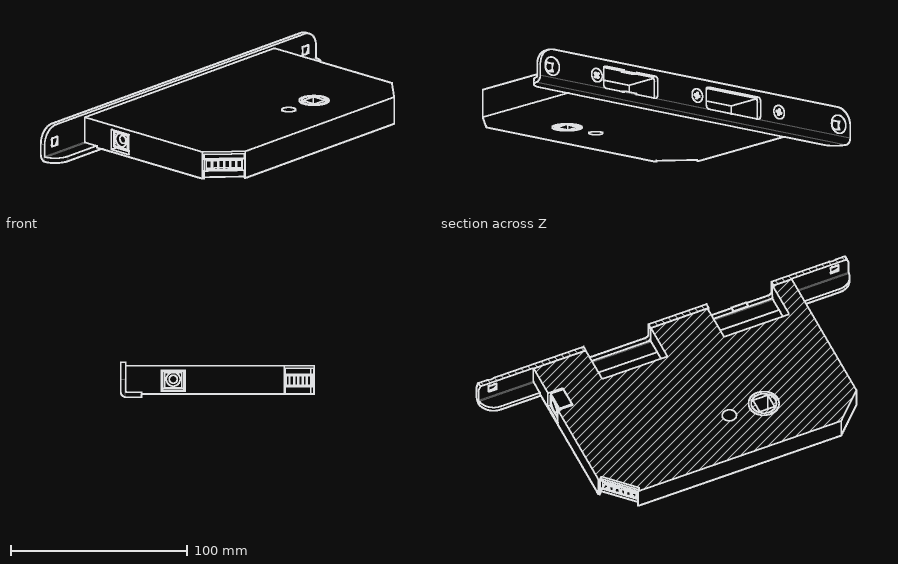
import cadquery as cq
import math


forend_length = 230.0
forend_height = 20.0
forend_thickness = 3.0
flange_width = 12.0
bend_inner_radius = 0.5
bend_outer_radius = bend_inner_radius + forend_thickness
corner_radius = 9.7
forend_mid_z = forend_height / 2

case_end_x = 110.0
case_length = 160.5
case_mid_y = -0.7
case_height = 16.0
case_bottom_z = (forend_height - case_height) / 2
case_min_y = case_mid_y - case_length / 2
case_chamfer = 17.2

opening_length = 40.2
opening_bottom_z = bend_outer_radius
opening_top_z = 16.3
opening_height = opening_top_z - opening_bottom_z
opening_mid_z = (opening_top_z + opening_bottom_z) / 2
opening_corner_radius = 2.0
latch_mid_y = 48.0
bolt_mid_y = -28.3
pocket_depth = 23.0
latch_pocket_shift = -0.7
latch_waist_length = 9.2
latch_waist_depth = 0.58

mounting_hole_y = 106.3
mounting_square = 4.8
mounting_countersink_radius = 5.3
mounting_cone_end_radius = mounting_countersink_radius - forend_thickness

screws = [(73.1, 45.0), (-1.4, 10.0), (-62.0, 15.0)]
screw_head_radius = 4.0
screw_shank_radius = 2.0
screw_head_height = screw_head_radius - screw_shank_radius
screw_length = 9.2
cross_length = 3.7
cross_width = 1.0
cross_depth = 1.2
cross_taper = 20.0

hub_x = 80.0
hub_y = 27.5
bushing_radius = 8.5
hub_radius = 7.4
hub_square = 9.0
thumbturn_y = 6.2
thumbturn_radius = 4.0

socket_x = 30.0
socket_z = 9.5
socket_width = 13.3
socket_height = 12.0
socket_hole_depth = 9.2
socket_clearance = 0.7
socket_recess = 0.7
boss_width = 10.0
boss_height = 8.5
boss_offset_z = 0.5
boss_projection = 0.7
base_bevel = 1.2
bore_mouth_radius = 4.0
bore_floor_radius = 2.3
bore_depth = 1.5
bore_offset_z = 1.0

bay_length = 23.0
bay_shift = 0.2
bay_top_z = 16.5
bay_depth = 2.5
strip_bottom_z = 6.2
strip_top_z = 13.0
strip_setback = 1.2
slot_count = 6
slot_pitch = 3.5
slot_width = 3.0
slot_height = 5.5
slot_depth = 3.0


def x_box(x_start, x_end, y_mid, y_size, z_mid, z_size):
    """A box from x_start to x_end, centred on y_mid and z_mid."""
    box = cq.Workplane("XY").box(x_end - x_start, y_size, z_size, centered=(False, True, True))
    return box.translate((x_start, y_mid, z_mid))


def x_cone(x_start, x_end, start_radius, end_radius, y, z):
    """A cone frustum along X."""
    solid = cq.Solid.makeCone(
        start_radius, end_radius, x_end - x_start, cq.Vector(x_start, y, z), cq.Vector(1, 0, 0)
    )
    return cq.Workplane(solid)


def x_cylinder(x_start, x_end, radius, y, z):
    solid = cq.Solid.makeCylinder(radius, x_end - x_start, cq.Vector(x_start, y, z), cq.Vector(1, 0, 0))
    return cq.Workplane(solid)


def bent_strip():
    """The forend's L section, with a rounded bend, along its whole length."""
    half_length = forend_length / 2
    outer_bend = bend_outer_radius * (1 - math.sqrt(0.5))
    inner_bend = bend_outer_radius - bend_inner_radius * math.sqrt(0.5)
    return (
        cq.Workplane("XZ", origin=(0, half_length, 0))
        .moveTo(0, forend_height)
        .lineTo(0, bend_outer_radius)
        .threePointArc((outer_bend, outer_bend), (bend_outer_radius, 0))
        .lineTo(flange_width, 0)
        .lineTo(flange_width, forend_thickness)
        .lineTo(bend_outer_radius, forend_thickness)
        .threePointArc((inner_bend, inner_bend), (forend_thickness, bend_outer_radius))
        .lineTo(forend_thickness, forend_height)
        .close()
        .extrude(forend_length)
    )


def forend_envelope():
    """The forend's outer box, its ends rounded in both the face plane and the flange plane."""
    box = cq.Workplane("XY").box(flange_width, forend_length, forend_height, centered=(False, True, False))
    front_rounding = box.edges("|X and >Z").fillet(corner_radius)
    flange_rounding = box.edges("|Z and >X").fillet(corner_radius)
    return front_rounding.intersect(flange_rounding)


def forend_opening(y):
    opening = x_box(0, forend_thickness, y, opening_length, opening_mid_z, opening_height)
    return opening.edges("|X").fillet(opening_corner_radius)


def case_pocket(y):
    """A square-cornered pocket in the case behind a forend opening."""
    return x_box(
        forend_thickness, forend_thickness + pocket_depth, y, opening_length, opening_mid_z, opening_height
    )


def latch_waist(side):
    """A shallow tongue that narrows the latch opening at its middle, at the top or the bottom."""
    edge_z = opening_mid_z + side * (opening_height - latch_waist_depth) / 2
    return x_box(0, forend_thickness, latch_mid_y, latch_waist_length, edge_z, latch_waist_depth)


def mounting_hole(y):
    cone = x_cone(
        0, forend_thickness, mounting_countersink_radius, mounting_cone_end_radius, y, forend_mid_z
    )
    square = x_box(0, forend_thickness, y, mounting_square, forend_mid_z, mounting_square)
    return cone.union(square)


def screw_blank(y):
    """A screw without its recess, which is also the hole that takes it."""
    head = x_cone(0, screw_head_height, screw_head_radius, screw_shank_radius, y, forend_mid_z)
    shank = x_cylinder(screw_head_height, screw_length, screw_shank_radius, y, forend_mid_z)
    return head.union(shank)


def make_forend():
    forend = bent_strip().intersect(forend_envelope())
    for y in (latch_mid_y, bolt_mid_y):
        forend = forend.cut(forend_opening(y))
    for side in (-1, 1):
        forend = forend.union(latch_waist(side))
    for y in (-mounting_hole_y, mounting_hole_y):
        forend = forend.cut(mounting_hole(y))
    for y, _ in screws:
        forend = forend.cut(screw_blank(y))
    return forend


def make_screw(y, turn):
    """A countersunk screw with a tapered cross recess turned about the screw axis."""
    face = cq.Workplane("YZ").center(y, forend_mid_z).transformed(rotate=(0, 0, turn))
    screw = screw_blank(y)
    for length, width in ((cross_length, cross_width), (cross_width, cross_length)):
        screw = screw.cut(face.rect(length, width).extrude(cross_depth, taper=cross_taper))
    return screw


def make_hub():
    hub = cq.Workplane("XY", origin=(hub_x, hub_y, case_bottom_z)).circle(hub_radius)
    return hub.rect(hub_square, hub_square).extrude(case_height)


def make_bushing():
    bushing = cq.Workplane("XY", origin=(hub_x, hub_y, case_bottom_z)).circle(bushing_radius)
    return bushing.circle(hub_radius).extrude(case_height)


def socket_block(width, height, x, z, y_start, y_end):
    block = cq.Workplane("XY").box(width, y_end - y_start, height, centered=(True, False, True))
    return block.translate((x, y_start, z))


def socket_hole():
    return socket_block(
        socket_width, socket_height, socket_x, socket_z, case_min_y, case_min_y + socket_hole_depth
    )


def make_socket():
    """A block standing clear in its hole, with a raised boss and a conical bore."""
    boss_z = socket_z + boss_offset_z
    boss_y = case_min_y + socket_recess
    base_y = boss_y + boss_projection
    base = socket_block(
        socket_width - 2 * socket_clearance,
        socket_height - 2 * socket_clearance,
        socket_x,
        socket_z,
        base_y,
        case_min_y + socket_hole_depth,
    )
    base = base.faces("<Y").edges("<Z").chamfer(base_bevel)
    boss = socket_block(boss_width, boss_height, socket_x, boss_z, boss_y, base_y)
    bore = cq.Solid.makeCone(
        bore_mouth_radius,
        bore_floor_radius,
        bore_depth,
        cq.Vector(socket_x, boss_y, socket_z + bore_offset_z),
        cq.Vector(0, 1, 0),
    )
    return base.union(boss).cut(cq.Workplane(bore))


def chamfer_plane(setback):
    """A workplane at mid-chamfer with its X along the chamfer, its Y up and its normal outward."""
    inward = setback * math.sqrt(0.5)
    x_mid = case_end_x - case_chamfer / 2 - inward
    y_mid = case_min_y + case_chamfer / 2 + inward
    plane = cq.Plane(origin=(x_mid, y_mid, 0), xDir=(1, 1, 0), normal=(1, -1, 0))
    return cq.Workplane(plane)


def chamfer_block(setback, length, z_bottom, z_top, depth):
    """A block sunk inward from a plane set back from the chamfer face."""
    height = z_top - z_bottom
    face = chamfer_plane(setback).center(bay_shift, z_bottom + height / 2)
    return face.rect(length, height).extrude(-depth)


def terminal_slots():
    face = chamfer_plane(strip_setback).center(bay_shift, (strip_bottom_z + strip_top_z) / 2)
    slots = face.rarray(slot_pitch, 2.3, slot_count, 1).rect(slot_width, slot_height)
    return slots.extrude(-slot_depth)


def make_case():
    case = x_box(
        forend_thickness, case_end_x, case_mid_y, case_length, case_bottom_z + case_height / 2, case_height
    )
    case = case.edges("|Z and >X").chamfer(case_chamfer)
    case = case.cut(bent_strip())
    for y in (latch_mid_y + latch_pocket_shift, bolt_mid_y):
        case = case.cut(case_pocket(y))
    for y, _ in screws:
        case = case.cut(screw_blank(y))
    bottom = cq.Workplane("XY", origin=(0, 0, case_bottom_z))
    case = case.cut(bottom.center(hub_x, hub_y).circle(bushing_radius).extrude(case_height))
    case = case.cut(bottom.center(hub_x, thumbturn_y).circle(thumbturn_radius).extrude(case_height))
    case = case.cut(socket_hole()).union(make_socket())
    case = case.cut(chamfer_block(0, bay_length, case_bottom_z, bay_top_z, bay_depth))
    strip_depth = bay_depth - strip_setback
    strip = chamfer_block(strip_setback, bay_length, strip_bottom_z, strip_top_z, strip_depth)
    return case.union(strip).cut(terminal_slots())


case = make_case()
forend = make_forend()
hub = make_hub()
bushing = make_bushing()
screw_solids = [make_screw(y, turn).val() for y, turn in screws]

result = cq.Compound.makeCompound([case.val(), forend.val(), hub.val(), bushing.val(), *screw_solids])